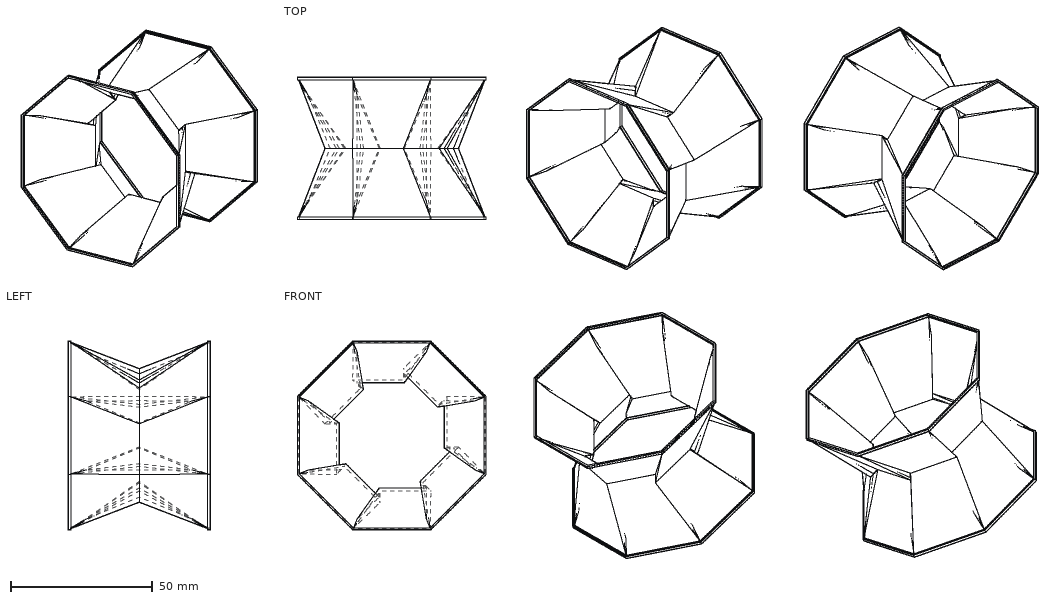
import cadquery as cq
import math

SIDES = 8
LENGTH = 50.4
HALF_LENGTH = LENGTH / 2
RIM_APOTHEM = 33.4
RIM_LENGTH = 1.0

OUTER_MOUTH_APOTHEM = 33.0
OUTER_WAIST_APOTHEM = 19.6
OUTER_WAIST_START = -13.8

INNER_MOUTH_APOTHEM = 32.7
INNER_CREASE_APOTHEM = 29.5
INNER_WAIST_APOTHEM = 18.55
INNER_WAIST_START = -12.3

STEP_ANGLE = 2 * math.pi / SIDES
HALF_SIDE_RATIO = math.tan(STEP_ANGLE / 2)
FUNNEL_LENGTH = HALF_LENGTH - RIM_LENGTH


def panel_point(index, along, apothem, y):
    """Point on a panel; panel 0 faces +Z and the index turns toward +X."""
    angle = index * STEP_ANGLE
    x = along * math.cos(angle) + apothem * math.sin(angle)
    z = apothem * math.cos(angle) - along * math.sin(angle)
    return cq.Vector(x, y, z)


def octagon_corner(index, apothem, y):
    """Corner shared by panel index and the panel after it."""
    return panel_point(index, apothem * HALF_SIDE_RATIO, apothem, y)


def flat_face(points):
    return cq.Face.makeFromWires(cq.Wire.makePolygon(points, close=True))


def pinwheel_funnel(mouth_apothem, crease_apothem, waist_apothem, start):
    """Solid from an octagonal mouth to a saw-toothed waist at Y = 0.

    Equal mouth and crease apothems make the panels separate right at the mouth.
    """
    end = waist_apothem * math.sin(STEP_ANGLE) + start * math.cos(STEP_ANGLE)
    slope = (mouth_apothem - waist_apothem) / FUNNEL_LENGTH
    crease_y = (crease_apothem - waist_apothem) / slope
    creased = crease_apothem < mouth_apothem
    faces = []
    mouth = []
    waist = []
    for i in range(SIDES):
        mouth_left = octagon_corner(i - 1, mouth_apothem, FUNNEL_LENGTH)
        mouth_right = octagon_corner(i, mouth_apothem, FUNNEL_LENGTH)
        crease_left = octagon_corner(i - 1, crease_apothem, crease_y)
        crease_right = octagon_corner(i, crease_apothem, crease_y)
        waist_start = panel_point(i, start, waist_apothem, 0)
        waist_end = panel_point(i, end, waist_apothem, 0)
        next_start = panel_point(i + 1, start, waist_apothem, 0)

        panel = [crease_right, waist_end, waist_start, crease_left]
        if creased:
            panel += [mouth_left, mouth_right]
        faces.append(flat_face(panel))
        faces.append(flat_face([crease_right, next_start, waist_end]))
        mouth.append(mouth_right)
        waist += [waist_start, waist_end]
    faces += [flat_face(mouth), flat_face(waist)]
    return cq.Workplane(cq.Solid.makeSolid(cq.Shell.makeShell(faces)).fix())


def octagonal_plate(apothem):
    """Straight octagonal plate, one rim thick, at the +Y end."""
    corners = [octagon_corner(i, apothem, FUNNEL_LENGTH) for i in range(SIDES)]
    outline = cq.Wire.makePolygon(corners, close=True)
    plate = cq.Solid.extrudeLinear(outline, [], cq.Vector(0, RIM_LENGTH, 0))
    return cq.Workplane(plate)


outer = pinwheel_funnel(OUTER_MOUTH_APOTHEM, OUTER_MOUTH_APOTHEM, OUTER_WAIST_APOTHEM, OUTER_WAIST_START)
bore = pinwheel_funnel(INNER_MOUTH_APOTHEM, INNER_CREASE_APOTHEM, INNER_WAIST_APOTHEM, INNER_WAIST_START)
rim = octagonal_plate(RIM_APOTHEM)
rim_opening = octagonal_plate(INNER_MOUTH_APOTHEM)
half = outer.union(rim).cut(bore).cut(rim_opening)

result = half.union(half.mirror("XZ"))